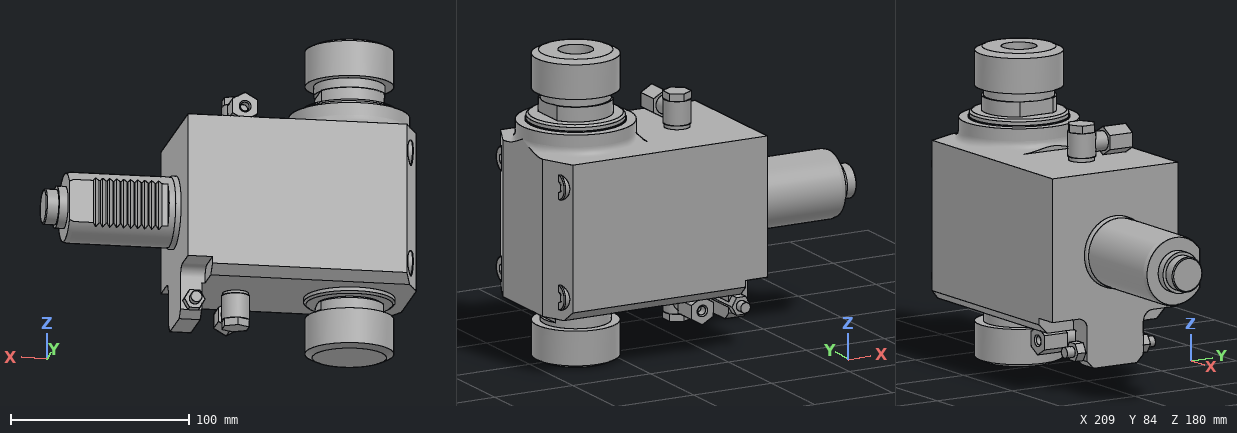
import cadquery as cq
import math


body_left = -34.0
body_right = 100.0
body_half_width = 42.0
body_top = 46.6
body_bottom = -45.1
corner_length = 9.0
corner_width = 19.0
bottom_bevel = 5.5

flange_radius = -body_left
flange_top = 60.0
flare_radius = 6.0
flare_right = 35.1
ring_base_radius = 28.6
ring_base_height = 0.6
ring_radius = 28.0
ring_top = 64.0
ring_bevel = 1.3

nut_radius = 25.0
nut_height = 22.4
nut_bevel_height = 2.0
nut_bevel_width = 4.2
nut_top = 100.5
nut_bottom = -79.5
bore_radius = 10.0
bore_depth = 12.5
stem_radius = 20.0
flats_half_width = 18.0
upper_collar_radius = 21.1
upper_collar_top = 72.5
lower_ring_radius = 25.7
lower_ring_bottom = -48.5
lower_ring_bevel = 1.3
lower_stem_bevel_height = 1.3
lower_stem_bevel_width = 1.9
lower_flats_bottom = -54.5

shank_start = 102.8
shank_end = 162.8
shank_radius = 20.0
seal_radius = 20.7
seal_fillet = 0.8
shank_taper = math.radians(15)
start_taper_length = 1.0
end_taper_length = 2.5
collar_end = 167.8
collar_radius = 12.0
tip_end = 175.0
tip_radius = 10.0
tip_bevel = 0.6
rack_start = 106.5
rack_flat_y = 15.9
tooth_count = 10
first_tooth_x = 111.6
last_tooth_x = 147.5
tooth_pitch = (last_tooth_x - first_tooth_x) / (tooth_count - 1)
tooth_depth = 1.7

nozzle_x = 65.0
upper_nozzle_z = 56.0
lower_nozzle_z = -54.0
nozzle_radius = 8.0
nozzle_half_height = 7.1
nozzle_neck_radius = 7.3
nozzle_neck_length = 11.5
nozzle_hex_flats = 14.2
nozzle_hex_top = 11.5
arm_radius = 5.6
arm_hex_start = 14.2
arm_end = 29.5
outlet_radius = 2.5
outlet_bevel = 0.8
outlet_depth = 6.3

lug_left = 87.8
lug_half_width = 18.8
lug_bottom = -65.5
lug_bevel = 4.4
notch_left = 86.0
notch_top = -36.0
notch_fillet = 6.0
pin_x = 92.8
pin_z = -56.0
pin_radius = 3.1
pin_half_length = 29.5
pin_hex_flats = 10.2
pin_hex_half_length = 24.2

screw_face_x = -29.3
screw_y = 32.4
screw_z = 32.2
screw_radius = 7.7
screw_length = 8.4
screw_hex_flats = 6.3
screw_bevel = 0.6


def across_corners(flats):
    """Corner diameter of a hexagon with the given width across flats."""
    return flats / math.cos(math.pi / 6)


def disc(radius, bottom, top):
    """Cylinder on the spindle axis."""
    return cq.Workplane("XY", origin=(0, 0, bottom)).circle(radius).extrude(top - bottom)


def shank_disc(radius, start, end):
    """Cylinder on the shank axis."""
    return cq.Workplane("YZ", origin=(start, 0, 0)).circle(radius).extrude(end - start)


def with_flats(solid, bottom, top):
    """Trim a spindle solid to two wrench flats between two heights."""
    middle = (bottom + top) / 2
    size = 4 * flats_half_width
    for side in (-1, 1):
        cutter = cq.Workplane("XY").box(size, size, top - bottom)
        solid = solid.cut(cutter.translate((side * (flats_half_width + size / 2), 0, middle)))
    return solid


def make_housing():
    outline = [
        (body_left, -body_half_width + corner_width),
        (body_left + corner_length, -body_half_width),
        (body_right, -body_half_width),
        (body_right, body_half_width),
        (body_left + corner_length, body_half_width),
        (body_left, body_half_width - corner_width),
    ]
    block = (
        cq.Workplane("XY", origin=(0, 0, body_bottom))
        .polyline(outline).close()
        .extrude(body_top - body_bottom)
    )
    section = [
        (-body_half_width, body_top),
        (-body_half_width, body_bottom + bottom_bevel),
        (-body_half_width + bottom_bevel, body_bottom),
        (body_half_width - bottom_bevel, body_bottom),
        (body_half_width, body_bottom + bottom_bevel),
        (body_half_width, body_top),
    ]
    envelope = (
        cq.Workplane("YZ", origin=(body_left, 0, 0))
        .polyline(section).close()
        .extrude(body_right - body_left)
    )
    return block.intersect(envelope)


def make_flange():
    flare_top = body_top + flare_radius
    flare_foot = flange_radius + flare_radius
    arc_reach = flare_radius * math.sqrt(0.5)
    profile = (
        cq.Workplane("XZ")
        .moveTo(0, body_top)
        .lineTo(flare_foot, body_top)
        .threePointArc((flare_foot - arc_reach, flare_top - arc_reach), (flange_radius, flare_top))
        .lineTo(flange_radius, flange_top)
        .lineTo(0, flange_top)
        .close()
    )
    flange = profile.revolve(360, (0, 0, 0), (0, 1, 0))
    trim = (
        cq.Workplane("XY", origin=((body_left + flare_right) / 2, 0, body_top))
        .rect(flare_right - body_left, 2 * flare_foot)
        .extrude(flange_top - body_top)
    )
    ring = disc(ring_radius, flange_top, ring_top).faces(">Z").edges().chamfer(ring_bevel)
    ring_base = disc(ring_base_radius, flange_top, flange_top + ring_base_height)
    return flange.intersect(trim).union(ring_base).union(ring)


def make_nut(bottom, outer_face):
    """Clamping nut whose outer rim, on the given side, is bevelled."""
    nut = disc(nut_radius, bottom, bottom + nut_height)
    return nut.faces(outer_face).chamfer(nut_bevel_height, nut_bevel_width)


def make_upper_collet():
    nut_base = nut_top - nut_height
    collar = disc(upper_collar_radius, ring_top, upper_collar_top)
    collar = with_flats(collar, ring_top, upper_collar_top)
    stem = disc(stem_radius, upper_collar_top, nut_base)
    bore = disc(bore_radius, nut_top - bore_depth, nut_top)
    return make_nut(nut_base, ">Z").cut(bore).union(stem).union(collar)


def make_lower_collet():
    ring = disc(lower_ring_radius, lower_ring_bottom, body_bottom)
    ring = ring.faces("<Z").edges().chamfer(lower_ring_bevel)
    stem = disc(stem_radius, nut_bottom + nut_height, lower_ring_bottom)
    stem = stem.faces(">Z").chamfer(lower_stem_bevel_height, lower_stem_bevel_width)
    stem = with_flats(stem, lower_flats_bottom, lower_ring_bottom)
    return make_nut(nut_bottom, "<Z").union(stem).union(ring)


def make_shank():
    taper = math.tan(shank_taper)
    profile = [
        (shank_start, 0),
        (shank_start, shank_radius - start_taper_length * taper),
        (shank_start + start_taper_length, shank_radius),
        (shank_end - end_taper_length, shank_radius),
        (shank_end, shank_radius - end_taper_length * taper),
        (shank_end, 0),
    ]
    shank = cq.Workplane("XY").polyline(profile).close().revolve(360, (0, 0, 0), (1, 0, 0))

    rack = [(rack_start, 2 * shank_radius), (rack_start, rack_flat_y)]
    for tooth in range(tooth_count):
        valley_x = first_tooth_x + tooth * tooth_pitch
        rack.append((valley_x - tooth_depth, rack_flat_y))
        rack.append((valley_x, rack_flat_y - tooth_depth))
        rack.append((valley_x + tooth_depth, rack_flat_y))
    rack += [(shank_end, rack_flat_y), (shank_end, 2 * shank_radius)]
    rack_cut = cq.Workplane("XY").polyline(rack).close().extrude(shank_radius, both=True)

    seal = shank_disc(seal_radius, body_right, shank_start).faces(">X").edges().fillet(seal_fillet)
    collar = shank_disc(collar_radius, shank_end, collar_end)
    tip = shank_disc(tip_radius, collar_end, tip_end).faces(">X").edges().chamfer(tip_bevel)
    return shank.cut(rack_cut).union(seal).union(collar).union(tip)


def make_nozzle():
    """Upright nozzle with its arm along +Y; the arm axis is at height zero."""
    hex_size = across_corners(nozzle_hex_flats)
    neck = disc(nozzle_neck_radius, -nozzle_neck_length, 0)
    barrel = disc(nozzle_radius, -nozzle_half_height, nozzle_half_height)
    cap = (
        cq.Workplane("XY", origin=(0, 0, nozzle_half_height))
        .polygon(6, hex_size)
        .extrude(nozzle_hex_top - nozzle_half_height)
        .rotate((0, 0, 0), (0, 0, 1), 30)
    )
    arm = cq.Workplane("XZ").circle(arm_radius).extrude(-arm_hex_start)
    arm_hex = (
        cq.Workplane("XZ", origin=(0, arm_hex_start, 0))
        .polygon(6, hex_size)
        .extrude(arm_hex_start - arm_end)
        .rotate((0, 0, 0), (0, 1, 0), 30)
    )
    outlet_plane = cq.Workplane("XZ", origin=(0, arm_end - outlet_depth, 0))
    outlet = outlet_plane.circle(outlet_radius).extrude(-outlet_depth)
    arm_hex = arm_hex.cut(outlet).faces(">Y").edges("%CIRCLE").chamfer(outlet_bevel)
    return neck.union(barrel).union(cap).union(arm).union(arm_hex)


def make_notch(side):
    """Rounded notch in the lower edge of the housing, beside the lug."""
    depth = body_half_width - lug_half_width
    length = body_right - notch_left
    height = notch_top - body_bottom
    notch = cq.Workplane("XY").box(length, depth, height, centered=False)
    notch = notch.edges("|X and >Z and <Y").fillet(notch_fillet)
    notch = notch.translate((notch_left, lug_half_width, body_bottom))
    return notch if side > 0 else notch.mirror("XZ")


def make_lug():
    width = 2 * lug_half_width
    length = body_right - lug_left
    lug = cq.Workplane("XY", origin=((lug_left + body_right) / 2, 0, lug_bottom))
    lug = lug.rect(length, width).extrude(body_bottom - lug_bottom)
    lug = lug.edges("|X and <Z").chamfer(lug_bevel)
    pin_plane = cq.Workplane("XZ", origin=(pin_x, 0, pin_z))
    pin = pin_plane.circle(pin_radius).extrude(pin_half_length, both=True)
    pin_hex = pin_plane.polygon(6, across_corners(pin_hex_flats)).extrude(pin_hex_half_length, both=True)
    return lug.union(pin).union(pin_hex)


def make_screw(y, z):
    """Screw head facing -X, with a hexagon socket along its whole length."""
    screw = cq.Workplane("YZ").circle(screw_radius).extrude(screw_length)
    screw = screw.faces("<X").edges().chamfer(screw_bevel)
    socket = (
        cq.Workplane("YZ")
        .polygon(6, across_corners(screw_hex_flats))
        .extrude(screw_length)
        .rotate((0, 0, 0), (1, 0, 0), 30)
    )
    return screw.cut(socket).translate((screw_face_x, y, z))


housing = make_housing()
for side in (-1, 1):
    housing = housing.cut(make_notch(side))
    for screw_height in (-screw_z, screw_z):
        housing = housing.union(make_screw(side * screw_y, screw_height))

upper_nozzle = make_nozzle().translate((nozzle_x, 0, upper_nozzle_z))
lower_nozzle = make_nozzle().rotate((0, 0, 0), (1, 0, 0), 180)
lower_nozzle = lower_nozzle.translate((nozzle_x, 0, lower_nozzle_z))

result = (
    housing
    .union(make_flange())
    .union(make_upper_collet())
    .union(make_lower_collet())
    .union(make_shank())
    .union(make_lug())
    .union(upper_nozzle)
    .union(lower_nozzle)
)